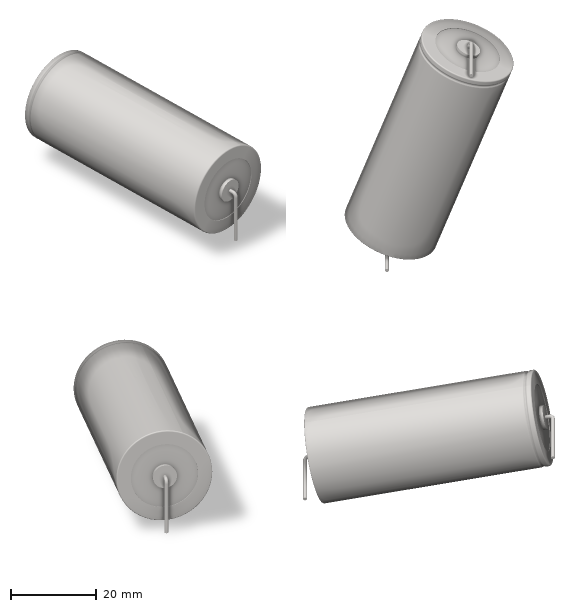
import cadquery as cq
import math


can_length = 55.0
can_radius = 11.5
rim_fillet = 0.3
sleeve_thickness = 0.2
sleeve_opening_radius = 0.7 * can_radius

groove_x = -25.93
groove_half_width = 0.56
groove_depth = 0.2

stripe_angle = 45.0
minus_count = 2
minus_pitch = can_length / 3
minus_length = can_length / 6
minus_width = 2.4
minus_inlay_depth = 1.0

button_diameter = 5.75
button_projection = 0.7
button_embedding = 1.0

lead_diameter = 0.9
lead_span = 60.0
lead_bend_radius = 0.9
lead_drop = 13.52

half_length = can_length / 2


def make_can():
    """Can turned about the X axis, with rounded rims, a crimp groove and bare recessed ends."""
    floor_x = half_length - sleeve_thickness
    shoulder_radius = can_radius - rim_fillet
    shoulder_x = half_length - rim_fillet
    groove_start = groove_x - groove_half_width
    groove_end = groove_x + groove_half_width

    slope_angle = 2 * math.atan(groove_depth / groove_half_width)
    arc_radius = groove_half_width / (2 * math.sin(slope_angle))
    inflection_offset = groove_half_width / 2
    inflection_radius = can_radius - groove_depth / 2
    half_slope = slope_angle / 2
    crest_offset = groove_half_width - arc_radius * math.sin(half_slope)
    crest_radius = can_radius - arc_radius * (1 - math.cos(half_slope))

    rim_mid = rim_fillet * (1 - math.sqrt(0.5))
    profile = (
        cq.Workplane("XY")
        .moveTo(-floor_x, 0)
        .lineTo(-floor_x, sleeve_opening_radius)
        .lineTo(-half_length, sleeve_opening_radius)
        .lineTo(-half_length, shoulder_radius)
        .threePointArc((-half_length + rim_mid, can_radius - rim_mid), (-shoulder_x, can_radius))
        .lineTo(groove_start, can_radius)
        .threePointArc(
            (groove_x - crest_offset, crest_radius),
            (groove_x - inflection_offset, inflection_radius),
        )
        .threePointArc(
            (groove_x, can_radius - groove_depth),
            (groove_x + inflection_offset, inflection_radius),
        )
        .threePointArc((groove_x + crest_offset, crest_radius), (groove_end, can_radius))
        .lineTo(shoulder_x, can_radius)
        .threePointArc((half_length - rim_mid, can_radius - rim_mid), (half_length, shoulder_radius))
        .lineTo(half_length, sleeve_opening_radius)
        .lineTo(floor_x, sleeve_opening_radius)
        .lineTo(floor_x, 0)
        .close()
    )
    return profile.revolve(360, (0, 0, 0), (1, 0, 0))


def make_stripe_region():
    """Wedge of space above the sleeve openings that bounds the polarity stripe."""
    half_angle = math.radians(stripe_angle / 2)
    wedge_height = 2 * can_radius
    wedge_half_width = wedge_height * math.tan(half_angle)
    wedge = (
        cq.Workplane("YZ")
        .polyline([(0, 0), (wedge_half_width, wedge_height), (-wedge_half_width, wedge_height)])
        .close()
        .extrude(half_length, both=True)
    )
    core = cq.Workplane("YZ").circle(sleeve_opening_radius).extrude(half_length, both=True)
    return wedge.cut(core)


def make_minus_region():
    """Upright obround blocks that bound the minus signs."""
    return (
        cq.Workplane("XY", origin=(0, 0, can_radius - minus_inlay_depth))
        .rarray(minus_pitch, 1, minus_count, 1)
        .slot2D(minus_length, minus_width)
        .extrude(2 * minus_inlay_depth)
    )


def inlay(body, region):
    """Refill the region of the body flush, keeping its outline as face boundaries."""
    insert = body.intersect(region, clean=False)
    return body.cut(region, clean=False).union(insert, clean=False)


def make_button(side):
    """Round button on the end face at the given side (-1 or +1)."""
    return (
        cq.Workplane("YZ", origin=(side * (half_length - button_embedding), 0, 0))
        .circle(button_diameter / 2)
        .extrude(side * (button_projection + button_embedding))
    )


def make_lead(side):
    """Round wire leaving the button along X and bending down to -Z."""
    start_x = side * half_length
    lead_x = side * lead_span / 2
    bend_start_x = lead_x - side * lead_bend_radius
    bend_mid = lead_bend_radius * math.sqrt(0.5)
    path = (
        cq.Workplane("XZ")
        .moveTo(start_x, 0)
        .lineTo(bend_start_x, 0)
        .threePointArc(
            (bend_start_x + side * bend_mid, bend_mid - lead_bend_radius),
            (lead_x, -lead_bend_radius),
        )
        .lineTo(lead_x, -lead_drop)
    )
    return cq.Workplane("YZ", origin=(start_x, 0, 0)).circle(lead_diameter / 2).sweep(path)


result = inlay(make_can(), make_stripe_region())
result = inlay(result, make_minus_region())
for side in (-1, 1):
    result = result.union(make_button(side), clean=False)
    result = result.union(make_lead(side), clean=False)